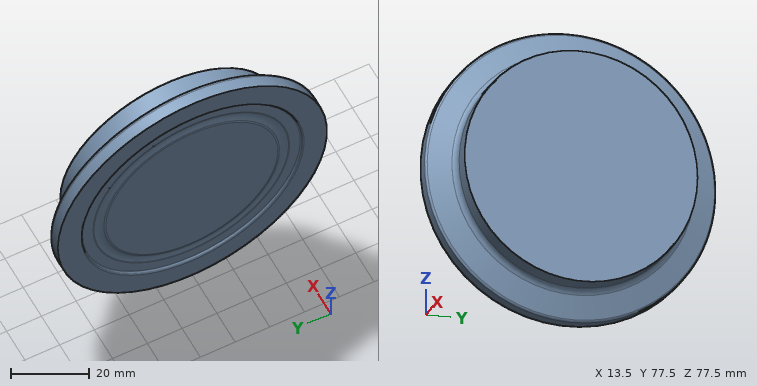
import cadquery as cq
import math

total_length = 13.5
flange_radius = 77.5 / 2
spigot_radius = 62 / 2
rim_length = 3.5
rim_round = 0.8
cone_angle = 20.0
neck_fillet = 2.0

recess_radius = 63.5 / 2
recess_depth = 0.8
recess_edge_round = 0.3
recess_floor_round = 0.4

disc_depth = 0.5
groove_inner_radius = 25.0
groove_outer_radius = 28.1
groove_middle_radius = (groove_inner_radius + groove_outer_radius) / 2
groove_middle_depth = 1.0
groove_inner_round = 1.1
groove_outer_round = 0.8

edge_margin = 0.1

tan_cone = math.tan(math.radians(cone_angle))
cone_start = rim_length + rim_round * math.tan(math.radians(45 - cone_angle / 2))
cone_end = cone_start + (flange_radius - spigot_radius) * tan_cone


def revolve_about_x(profile):
    """Turn a closed half section into a solid of revolution."""
    return profile.close().revolve(360, (0, 0, 0), (1, 0, 0))


def round_circle(body, x, radius, fillet_radius):
    """Fillet the circular edge of the given radius at axial position x."""
    edges = [
        edge
        for edge in body.edges("%CIRCLE").vals()
        if abs(edge.Center().x - x) < edge_margin and abs(edge.radius() - radius) < edge_margin
    ]
    return body.newObject(edges).fillet(fillet_radius)


def flange_body():
    """Flange with a conical back that runs down to a cylindrical spigot."""
    body = revolve_about_x(
        cq.Workplane("XY")
        .lineTo(0, flange_radius)
        .lineTo(cone_start, flange_radius)
        .lineTo(cone_end, spigot_radius)
        .lineTo(total_length, spigot_radius)
        .lineTo(total_length, 0)
    )
    body = round_circle(body, cone_start, flange_radius, rim_round)
    return round_circle(body, cone_end, spigot_radius, neck_fillet)


def face_recess():
    """Recess volume: flat outer floor, arc-shaped groove and shallow centre."""
    return revolve_about_x(
        cq.Workplane("XY")
        .lineTo(disc_depth, 0)
        .lineTo(disc_depth, groove_inner_radius)
        .threePointArc(
            (groove_middle_depth, groove_middle_radius),
            (recess_depth, groove_outer_radius),
        )
        .lineTo(recess_depth, recess_radius)
        .lineTo(0, recess_radius)
    )


result = flange_body().cut(face_recess())
result = round_circle(result, recess_depth, recess_radius, recess_floor_round)
result = round_circle(result, 0, recess_radius, recess_edge_round)
result = round_circle(result, disc_depth, groove_inner_radius, groove_inner_round)
result = round_circle(result, recess_depth, groove_outer_radius, groove_outer_round)